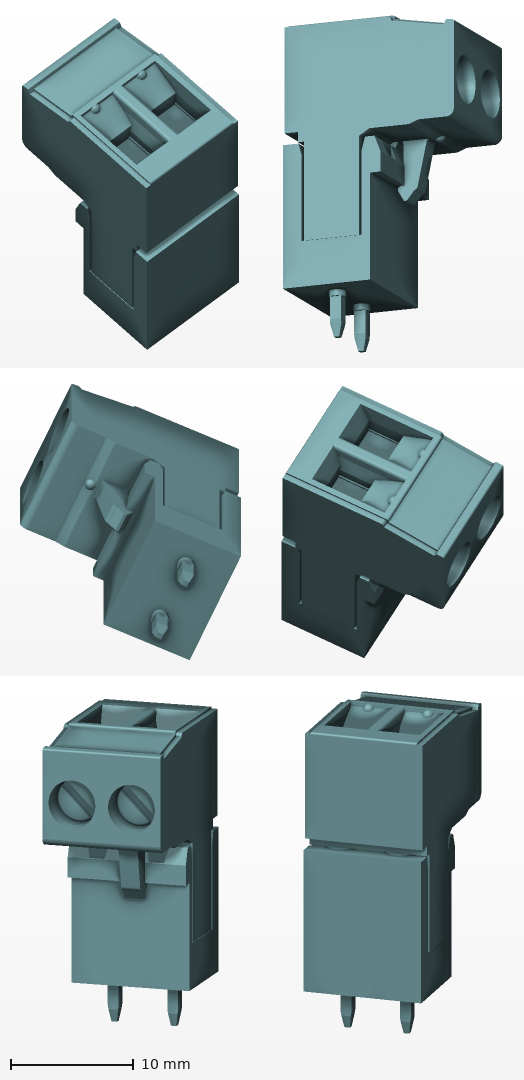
import cadquery as cq


TOTAL_LENGTH = 15.13
TOTAL_HEIGHT = 26.0
TOTAL_WIDTH = 10.17
PLUG_Y_SHIFT = 0.05
POLE_PITCH = 5.1
POLE_SIDES = (-1, 1)

BODY_WIDTH = TOTAL_WIDTH - PLUG_Y_SHIFT
HEADER_MID_Y = BODY_WIDTH / 2
PLUG_MID_Y = HEADER_MID_Y + PLUG_Y_SHIFT
POLE_MID_Y = TOTAL_WIDTH / 2
POLE_YS = [POLE_MID_Y + side * POLE_PITCH / 2 for side in POLE_SIDES]

HEADER_LEFT = 7.44
HEADER_BOTTOM = 3.87
HEADER_TOP = 15.95
CAVITY_LEFT = 8.16
CAVITY_RIGHT = 13.47
CAVITY_FLOOR = 7.72
LEAD_IN_WIDTH = 0.29
LEAD_IN_DEPTH = 1.07

LEDGE_LEFT = 6.5
LEDGE_BOTTOM = 12.87
RAMP_START = 14.55
RAMP_END_X = 7.05

NOTCH_LEFT = 6.53
NOTCH_NARROW = 1.27
NOTCH_WIDE = 1.95
NOTCH_FLOOR = RAMP_START + (NOTCH_LEFT - LEDGE_LEFT) * (HEADER_TOP - RAMP_START) / (RAMP_END_X - LEDGE_LEFT)

GROOVE_DIAMETER = 3.0

PIN_X = 11.34
COLLAR_DIAMETER = 1.4
COLLAR_HEIGHT = 0.52
PIN_SIZE_X = 1.0
PIN_SIZE_Y = 0.94
PIN_TIP_SIZE = 0.47
TAPER_HEIGHT_X = 1.07
TAPER_HEIGHT_Y = 1.43

PLUG_RIGHT = 14.98
PLUG_BOTTOM = 16.9
UNDERSIDE = 16.6
UNDERSIDE_STEP_START = 3.15
UNDERSIDE_STEP_END = 3.95
UNDERSIDE_END = 7.45
FOOT_ROUND_LENGTH = 0.75
FOOT_ROUND_TOP = 17.5
FOOT_ROUND_MID = (0.2, 17.08)

BAR_EDGE_RADIUS = 0.18
BAR_FRONT_TOP = 25.05
BAR_RIGHT = 0.7
BAR_RIGHT_TOP = 25.1

SHOULDER_START = (0.94, 24.67)
SHOULDER_STEP_FOOT = (5.56, 25.48)
SHOULDER_STEP_MID = (5.62, 25.7)
SHOULDER_STEP_END = 5.8
SHOULDER_TOP = 25.82
PANEL_INSET = 0.5
PANEL_START = (0.85, 24.88)
PANEL_RISER_X = 5.4
PANEL_RISER_FOOT = 25.7
PANEL_EDGE_RADIUS = TOTAL_HEIGHT - SHOULDER_TOP

STEM_LEFT = 8.37
STEM_RIGHT = 13.23
STEM_TOP = 16.05
NECK_RIGHT = 13.78
GUIDE_RIB_DIAMETER = 2.8
GUIDE_RIB_X = 12.82

FUNNEL_LEFT = 6.03
FUNNEL_RIGHT = 12.8
FUNNEL_LIP_DEPTH = 0.35
THROAT_DEPTH = 1.55
SHAFT_LEFT = 8.7
SHAFT_RIGHT = 11.88
SHAFT_DEPTH = 2.9
FUNNEL_OUTER = 1.55
SHAFT_OUTER = 1.4
SHAFT_INNER = 1.45
FUNNEL_INNER = 1.98
PARTITION_RADIUS = 0.3
PARTITION_BEND_DEPTH = 0.88
PARTITION_BEND = 1.9
PARTITION_TOE_DEPTH = 2.1
FLOOR_RECESS_WIDTH = 2.57
FLOOR_RECESS_DEPTH = 0.13

NUB_RADIUS = 0.5
NUB_DEPTH = 0.52

LATCH_WIDTH = 1.65
LATCH_MID_Y = PLUG_MID_Y - 0.78
LATCH_BACK = 6.58
LATCH_FRONT = 4.52
LATCH_ROOT_RADIUS = 0.23
LATCH_BEND_TOP = (5.25, 12.95)
LATCH_BEND_START = (5.3, 12.71)
LATCH_BEND_MID = (5.4, 12.5)
LATCH_BEND_END = (5.62, 12.38)
LATCH_TIP = 11.57
LATCH_TIP_LEFT = 6.27
LATCH_TIP_RIGHT = 6.53
HOOK_RIGHT = 7.05
HOOK_LOW = 12.45
HOOK_HIGH = 12.7
HOOK_TOP_RIGHT = 6.86
GUSSET_ROOT = 7.15
GUSSET_LEFT = 7.28
PIP_RADIUS = 0.5
PIP_X = 3.7

SCREW_Z = 20.55
SCREW_DIAMETER = 3.77
SCREW_LENGTH = 2.6
SCREW_RECESS = 1.82
SCREW_EDGE_RADIUS = 0.25
MOUTH_DIAMETER = 4.0
SLOT_WIDTH = 0.73
SLOT_DEPTH = 0.65
SLOT_ANGLE = 45


def extrude_along_y(profile, mid_y, width):
    """Extrude a closed XZ profile over a width centred on mid_y."""
    return profile.extrude(width / 2, both=True).translate((0, mid_y, 0))


def upright_cylinder(x, y, diameter, bottom, top):
    return cq.Workplane("XY", origin=(x, y, bottom)).circle(diameter / 2).extrude(top - bottom)


def ball(radius, center):
    return cq.Workplane("XY").sphere(radius).translate(center)


def header_shell():
    """U-shaped trough along Y with a latching ledge on its -X wall."""
    lead_in_bottom = HEADER_TOP - LEAD_IN_DEPTH
    profile = cq.Workplane("XZ").polyline([
        (HEADER_LEFT, HEADER_BOTTOM),
        (TOTAL_LENGTH, HEADER_BOTTOM),
        (TOTAL_LENGTH, HEADER_TOP),
        (CAVITY_RIGHT + LEAD_IN_WIDTH, HEADER_TOP),
        (CAVITY_RIGHT, lead_in_bottom),
        (CAVITY_RIGHT, CAVITY_FLOOR),
        (CAVITY_LEFT, CAVITY_FLOOR),
        (CAVITY_LEFT, lead_in_bottom),
        (CAVITY_LEFT - LEAD_IN_WIDTH, HEADER_TOP),
        (RAMP_END_X, HEADER_TOP),
        (LEDGE_LEFT, RAMP_START),
        (LEDGE_LEFT, LEDGE_BOTTOM),
        (HEADER_LEFT, LEDGE_BOTTOM),
    ]).close()
    return extrude_along_y(profile, HEADER_MID_Y, BODY_WIDTH)


def coding_notch(y):
    """Recess in the ledge ramp that widens towards the cavity."""
    return (
        cq.Workplane("XY", origin=(0, y, NOTCH_FLOOR))
        .polyline([
            (NOTCH_LEFT, -NOTCH_NARROW / 2),
            (RAMP_END_X, -NOTCH_WIDE / 2),
            (RAMP_END_X, NOTCH_WIDE / 2),
            (NOTCH_LEFT, NOTCH_NARROW / 2),
        ])
        .close()
        .extrude(HEADER_TOP - NOTCH_FLOOR)
    )


def pin_outline(plane, size, taper_height, top):
    """Post outline in an upright plane, narrowing to the tip below the taper height."""
    return (
        cq.Workplane(plane)
        .polyline([
            (-PIN_TIP_SIZE / 2, 0),
            (PIN_TIP_SIZE / 2, 0),
            (size / 2, taper_height),
            (size / 2, top),
            (-size / 2, top),
            (-size / 2, taper_height),
        ])
        .close()
    )


def contact_pin(y):
    """Rectangular post with a tapered tip below a round collar."""
    collar_bottom = HEADER_BOTTOM - COLLAR_HEIGHT
    collar = upright_cylinder(PIN_X, y, COLLAR_DIAMETER, collar_bottom, HEADER_BOTTOM)
    along_x = pin_outline("XZ", PIN_SIZE_X, TAPER_HEIGHT_X, collar_bottom)
    along_y = pin_outline("YZ", PIN_SIZE_Y, TAPER_HEIGHT_Y, collar_bottom)
    post = along_x.extrude(PIN_SIZE_Y, both=True).intersect(along_y.extrude(PIN_SIZE_X, both=True))
    return collar.union(post.translate((PIN_X, y, 0)))


def latch_relief():
    """Shallow recess in the ledge face that the latch arm lies in."""
    relief_depth = LATCH_BACK - LEDGE_LEFT
    return (
        cq.Workplane("XY", origin=(LEDGE_LEFT, LATCH_MID_Y, LEDGE_BOTTOM))
        .box(relief_depth, LATCH_WIDTH, HEADER_TOP - LEDGE_BOTTOM, centered=(False, True, False))
    )


def make_header():
    header = header_shell().cut(latch_relief())
    for y in POLE_YS:
        groove = upright_cylinder(GUIDE_RIB_X, y, GROOVE_DIAMETER, CAVITY_FLOOR, HEADER_TOP)
        header = header.cut(coding_notch(y)).cut(groove).union(contact_pin(y))
    return header


def plug_shell():
    """Wide screw block on top of the narrower stem."""
    profile = (
        cq.Workplane("XZ")
        .moveTo(0, FOOT_ROUND_TOP)
        .lineTo(0, BAR_FRONT_TOP - BAR_EDGE_RADIUS)
        .radiusArc((BAR_EDGE_RADIUS, BAR_FRONT_TOP), BAR_EDGE_RADIUS)
        .lineTo(BAR_RIGHT, BAR_RIGHT_TOP)
        .lineTo(*SHOULDER_START)
        .lineTo(*SHOULDER_STEP_FOOT)
        .threePointArc(SHOULDER_STEP_MID, (SHOULDER_STEP_END, SHOULDER_TOP))
        .lineTo(PLUG_RIGHT, SHOULDER_TOP)
        .lineTo(PLUG_RIGHT, PLUG_BOTTOM)
        .lineTo(NECK_RIGHT, PLUG_BOTTOM)
        .lineTo(NECK_RIGHT, STEM_TOP)
        .lineTo(STEM_RIGHT, STEM_TOP)
        .lineTo(STEM_RIGHT, CAVITY_FLOOR)
        .lineTo(STEM_LEFT, CAVITY_FLOOR)
        .lineTo(STEM_LEFT, STEM_TOP)
        .lineTo(UNDERSIDE_END, UNDERSIDE)
        .lineTo(UNDERSIDE_STEP_END, UNDERSIDE)
        .lineTo(UNDERSIDE_STEP_START, PLUG_BOTTOM)
        .lineTo(FOOT_ROUND_LENGTH, PLUG_BOTTOM)
        .threePointArc(FOOT_ROUND_MID, (0, FOOT_ROUND_TOP))
        .close()
    )
    return extrude_along_y(profile, PLUG_MID_Y, BODY_WIDTH)


def raised_panel():
    """Raised middle of the top, with a rounded step and a rounded back edge."""
    panel_start_x, panel_start_z = PANEL_START
    profile = (
        cq.Workplane("XZ")
        .moveTo(panel_start_x, panel_start_z)
        .lineTo(PANEL_RISER_X, PANEL_RISER_FOOT)
        .lineTo(PANEL_RISER_X, SHOULDER_TOP)
        .radiusArc((PANEL_RISER_X + PANEL_EDGE_RADIUS, TOTAL_HEIGHT), PANEL_EDGE_RADIUS)
        .lineTo(PLUG_RIGHT - PANEL_EDGE_RADIUS, TOTAL_HEIGHT)
        .radiusArc((PLUG_RIGHT, SHOULDER_TOP), PANEL_EDGE_RADIUS)
        .lineTo(PLUG_RIGHT, PLUG_BOTTOM)
        .lineTo(panel_start_x, PLUG_BOTTOM)
        .close()
    )
    return extrude_along_y(profile, PLUG_MID_Y, BODY_WIDTH - 2 * PANEL_INSET)


def funnel_along_x():
    """Funnel section in XZ: a gentle slope on the -X side and a steep one on the +X side."""
    throat = TOTAL_HEIGHT - THROAT_DEPTH
    floor = TOTAL_HEIGHT - SHAFT_DEPTH
    return cq.Workplane("XZ").polyline([
        (FUNNEL_LEFT, TOTAL_HEIGHT),
        (FUNNEL_LEFT, TOTAL_HEIGHT - FUNNEL_LIP_DEPTH),
        (SHAFT_LEFT, throat),
        (SHAFT_LEFT, floor),
        (SHAFT_RIGHT, floor),
        (SHAFT_RIGHT, throat),
        (FUNNEL_RIGHT, TOTAL_HEIGHT),
    ]).close()


def funnel_along_y(side):
    """Funnel section in YZ about the pole; the partition side has a rounded crest and a toe."""
    floor = TOTAL_HEIGHT - SHAFT_DEPTH
    crest_foot = TOTAL_HEIGHT - PARTITION_RADIUS
    return (
        cq.Workplane("YZ")
        .moveTo(side * FUNNEL_OUTER, TOTAL_HEIGHT)
        .lineTo(side * SHAFT_OUTER, TOTAL_HEIGHT - THROAT_DEPTH)
        .lineTo(side * SHAFT_OUTER, floor)
        .lineTo(-side * SHAFT_INNER, floor)
        .lineTo(-side * SHAFT_INNER, TOTAL_HEIGHT - PARTITION_TOE_DEPTH)
        .lineTo(-side * PARTITION_BEND, TOTAL_HEIGHT - PARTITION_BEND_DEPTH)
        .lineTo(-side * FUNNEL_INNER, crest_foot)
        .radiusArc((-side * (FUNNEL_INNER + PARTITION_RADIUS), TOTAL_HEIGHT), -side * PARTITION_RADIUS)
        .close()
    )


def wire_funnel(y, side):
    """Wire entry of one pole, with a shallow recess in its floor."""
    cross_section = funnel_along_y(side).extrude(TOTAL_LENGTH)
    funnel = funnel_along_x().extrude(POLE_PITCH, both=True).intersect(cross_section)
    floor_recess = (
        cq.Workplane("XY", origin=(SHAFT_LEFT, 0, TOTAL_HEIGHT - SHAFT_DEPTH - FLOOR_RECESS_DEPTH))
        .box(SHAFT_RIGHT - SHAFT_LEFT, FLOOR_RECESS_WIDTH, FLOOR_RECESS_DEPTH, centered=(False, True, False))
    )
    return funnel.union(floor_recess).translate((0, y, 0))


def latch():
    """Hooked arm under the plug with rounded roots, and the gusset that ties it to the stem."""
    root_bottom = UNDERSIDE - LATCH_ROOT_RADIUS
    profile = (
        cq.Workplane("XZ")
        .moveTo(LATCH_FRONT - LATCH_ROOT_RADIUS, UNDERSIDE)
        .radiusArc((LATCH_FRONT, root_bottom), LATCH_ROOT_RADIUS)
        .lineTo(*LATCH_BEND_TOP)
        .lineTo(*LATCH_BEND_START)
        .threePointArc(LATCH_BEND_MID, LATCH_BEND_END)
        .lineTo(LATCH_TIP_LEFT, LATCH_TIP)
        .lineTo(LATCH_TIP_RIGHT, LATCH_TIP)
        .lineTo(HOOK_RIGHT, HOOK_LOW)
        .lineTo(HOOK_RIGHT, HOOK_HIGH)
        .lineTo(HOOK_TOP_RIGHT, LEDGE_BOTTOM)
        .lineTo(LATCH_BACK, LEDGE_BOTTOM)
        .lineTo(LATCH_BACK, root_bottom)
        .radiusArc((LATCH_BACK + LATCH_ROOT_RADIUS, UNDERSIDE), LATCH_ROOT_RADIUS)
        .lineTo(GUSSET_ROOT - LATCH_ROOT_RADIUS, UNDERSIDE)
        .radiusArc((GUSSET_ROOT, root_bottom), LATCH_ROOT_RADIUS)
        .lineTo(GUSSET_LEFT, STEM_TOP)
        .lineTo(STEM_LEFT, STEM_TOP)
        .lineTo(STEM_LEFT, PLUG_BOTTOM)
        .lineTo(LATCH_FRONT - LATCH_ROOT_RADIUS, PLUG_BOTTOM)
        .close()
    )
    return extrude_along_y(profile, LATCH_MID_Y, LATCH_WIDTH)


def screw_hole(y):
    """Slightly tapered mouth down to the screw, then the bore that the screw fills."""
    mouth = (
        cq.Workplane("YZ", origin=(0, y, SCREW_Z))
        .circle(MOUTH_DIAMETER / 2)
        .workplane(offset=SCREW_RECESS)
        .circle(SCREW_DIAMETER / 2)
        .loft()
    )
    bore = (
        cq.Workplane("YZ", origin=(SCREW_RECESS, y, SCREW_Z))
        .circle(SCREW_DIAMETER / 2)
        .extrude(SCREW_LENGTH)
    )
    return mouth.union(bore)


def make_plug():
    pip = ball(PIP_RADIUS, (PIP_X, LATCH_MID_Y, PLUG_BOTTOM))
    plug = plug_shell().union(raised_panel()).union(latch()).union(pip)
    for side, y in zip(POLE_SIDES, POLE_YS):
        guide_rib = upright_cylinder(GUIDE_RIB_X, y, GUIDE_RIB_DIAMETER, CAVITY_FLOOR, STEM_TOP)
        nub = ball(NUB_RADIUS, (FUNNEL_LEFT, y, TOTAL_HEIGHT - NUB_DEPTH))
        plug = plug.union(guide_rib).cut(wire_funnel(y, side)).union(nub).cut(screw_hole(y))
    return plug


def make_screw(y):
    """Round screw with a rounded rim and a slanted driver slot."""
    head_face = cq.Workplane("YZ", origin=(SCREW_RECESS, y, SCREW_Z))
    screw = (
        head_face.circle(SCREW_DIAMETER / 2)
        .extrude(SCREW_LENGTH)
        .faces("<X")
        .edges()
        .fillet(SCREW_EDGE_RADIUS)
    )
    slot = (
        head_face.transformed(rotate=(0, 0, SLOT_ANGLE))
        .rect(MOUTH_DIAMETER, SLOT_WIDTH)
        .extrude(SLOT_DEPTH, combine=False)
    )
    return screw.cut(slot)


plug = make_plug()
header = make_header()
screws = [make_screw(y) for y in POLE_YS]

result = cq.Compound.makeCompound([plug.val(), header.val(), *[screw.val() for screw in screws]])